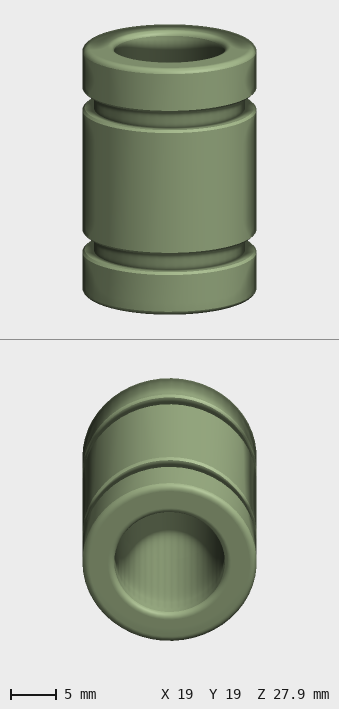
import cadquery as cq
import math

LENGTH = 27.87
OUTER_RADIUS = 18.98 / 2
BORE_RADIUS = 6.02

LINER_THICKNESS = 0.5
RIM_WIDTH = 0.72
MOUTH_WIDTH = 0.67

GROOVE_RADIUS = 8.25
GROOVE_WIDTH = 2.0
GROOVE_FROM_END = 4.9
GROOVE_CHAMFER = 0.25

SLEEVE_BORE_RADIUS = BORE_RADIUS + LINER_THICKNESS
SLEEVE_LENGTH = LENGTH - 2 * LINER_THICKNESS


def tube(outer_radius, inner_radius, bottom, height):
    """Plain tube around Z, starting at height `bottom`."""
    return (
        cq.Workplane("XY", origin=(0, 0, bottom))
        .circle(outer_radius)
        .circle(inner_radius)
        .extrude(height)
    )


def revolve_about_z(profile):
    """Turn a closed radius-height profile around the Z axis."""
    return profile.revolve(360, (0, 0, 0), (0, 1, 0))


def groove_cutter(bottom):
    """Ring groove with chamfered mouth edges, its lower wall at height `bottom`."""
    top = bottom + GROOVE_WIDTH
    chamfer_start = OUTER_RADIUS - GROOVE_CHAMFER
    return revolve_about_z(
        cq.Workplane("XZ")
        .moveTo(GROOVE_RADIUS, bottom)
        .lineTo(chamfer_start, bottom)
        .lineTo(OUTER_RADIUS, bottom - GROOVE_CHAMFER)
        .lineTo(OUTER_RADIUS, top + GROOVE_CHAMFER)
        .lineTo(chamfer_start, top)
        .lineTo(GROOVE_RADIUS, top)
        .close()
    )


def make_sleeve():
    """Grooved outer sleeve between the liner flanges."""
    sleeve = tube(OUTER_RADIUS, SLEEVE_BORE_RADIUS, LINER_THICKNESS, SLEEVE_LENGTH)
    for bottom in (GROOVE_FROM_END, LENGTH - GROOVE_FROM_END - GROOVE_WIDTH):
        sleeve = sleeve.cut(groove_cutter(bottom))
    return sleeve


def rounding_middle(width):
    """Middle of a flange rounding, as distances from where it meets the end face.

    The arc is tangent to the end face and falls by the flange thickness over `width`.
    """
    arc_radius = (width**2 + LINER_THICKNESS**2) / (2 * LINER_THICKNESS)
    half_angle = math.atan2(LINER_THICKNESS, width)
    run = arc_radius * math.sin(half_angle)
    drop = arc_radius * (1 - math.cos(half_angle))
    return run, drop


def make_upper_liner_half():
    """Upper half of the liner, from mid-length to the top flange."""
    flange_bottom = LENGTH - LINER_THICKNESS
    face_radius = OUTER_RADIUS - RIM_WIDTH
    mouth_face_radius = BORE_RADIUS + MOUTH_WIDTH
    rim_run, rim_drop = rounding_middle(RIM_WIDTH)
    mouth_run, mouth_drop = rounding_middle(MOUTH_WIDTH)

    return revolve_about_z(
        cq.Workplane("XZ")
        .moveTo(BORE_RADIUS, LENGTH / 2)
        .lineTo(SLEEVE_BORE_RADIUS, LENGTH / 2)
        .lineTo(SLEEVE_BORE_RADIUS, flange_bottom)
        .lineTo(OUTER_RADIUS, flange_bottom)
        .threePointArc((face_radius + rim_run, LENGTH - rim_drop), (face_radius, LENGTH))
        .lineTo(mouth_face_radius, LENGTH)
        .threePointArc(
            (mouth_face_radius - mouth_run, LENGTH - mouth_drop),
            (BORE_RADIUS, flange_bottom),
        )
        .close()
    )


def make_liner():
    """One-piece liner, symmetric about mid-length."""
    upper_half = make_upper_liner_half()
    lower_half = upper_half.mirror("XY", (0, 0, LENGTH / 2))
    return upper_half.union(lower_half).clean()


sleeve = make_sleeve()
liner = make_liner()

result = cq.Compound.makeCompound([sleeve.val(), *liner.vals()])